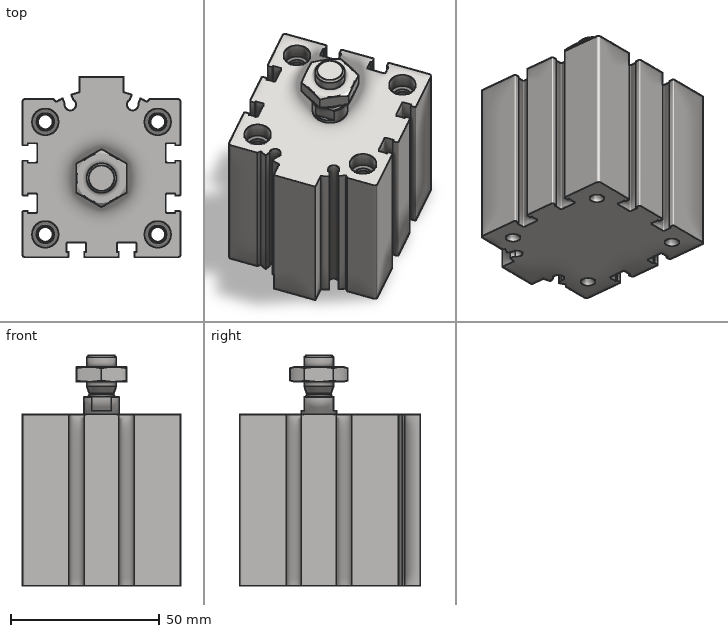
import cadquery as cq
import math

body_width = 53.5
body_height = 58.0
half_width = body_width / 2
corner_radius = 1.0

rail_width = 15.0
rail_top_y = 34.25
land_radius = 30.0
notch_x = 15.3

sensor_angle = 23.0
sensor_distance = 26.95
sensor_diameter = 3.8
sensor_throat = 3.1

slot_offset = 8.5
slot_mouth_width = 5.2
slot_mouth_depth = 1.85
slot_width = 6.5
slot_depth = 5.0
slot_mouth_radius = 0.4
slot_floor_radius = 0.4

hole_pitch = 38.0
hole_diameter = 4.92
countersink_diameter = 6.0
counterbore_diameter = 9.0
counterbore_depth = 5.7

rod_top = 78.0
shank_diameter = 12.0
shank_top = 64.0
shank_chamfer = 0.2
flats_width = 10.0
flats_bottom = 59.25
neck_diameter = 8.2
neck_bottom = 64.6
neck_top = 65.1
thread_diameter = 10.0
thread_root_diameter = 8.57
taper_bottom = 65.4
taper_top = 67.5
shoulder_diameter = 9.0
tip_chamfer = (thread_diameter - thread_root_diameter) / 2

nut_sides = 6
nut_width = 17.0
nut_height = 5.0
nut_bottom = 69.0
nut_face_diameter = 16.8
nut_chamfer_height = 0.45


def land_y(x):
    """Height in Y of the arched land at x."""
    return math.sqrt(land_radius**2 - x**2)


def body_outline():
    """Closed profile of the body without its slots, grooves and rounded corners."""
    rail_x = rail_width / 2
    notch_y = land_y(notch_x)
    arc_middle_x = (rail_x + notch_x) / 2
    arc_middle_y = land_y(arc_middle_x)
    notch_top_x = notch_x + half_width - notch_y
    return (
        cq.Workplane("XY")
        .moveTo(-half_width, -half_width)
        .lineTo(half_width, -half_width)
        .lineTo(half_width, half_width)
        .lineTo(notch_top_x, half_width)
        .lineTo(notch_x, notch_y)
        .threePointArc((arc_middle_x, arc_middle_y), (rail_x, land_y(rail_x)))
        .lineTo(rail_x, rail_top_y)
        .lineTo(-rail_x, rail_top_y)
        .lineTo(-rail_x, land_y(rail_x))
        .threePointArc((-arc_middle_x, arc_middle_y), (-notch_x, notch_y))
        .lineTo(-notch_top_x, half_width)
        .lineTo(-half_width, half_width)
        .close()
    )


def t_slot():
    """Cutter for one T-slot, open towards -Y at x = 0."""
    mouth_half_width = slot_mouth_width / 2
    flare_half_width = mouth_half_width + slot_mouth_radius
    mouth = (
        cq.Workplane("XY")
        .moveTo(-flare_half_width, 0)
        .radiusArc((-mouth_half_width, slot_mouth_radius), -slot_mouth_radius)
        .lineTo(-mouth_half_width, slot_mouth_depth)
        .lineTo(mouth_half_width, slot_mouth_depth)
        .lineTo(mouth_half_width, slot_mouth_radius)
        .radiusArc((flare_half_width, 0), -slot_mouth_radius)
        .close()
        .extrude(body_height)
    )
    chamber = (
        cq.Workplane("XY")
        .box(slot_width, slot_depth - slot_mouth_depth, body_height, centered=(True, False, False))
        .edges("|Z and >Y")
        .fillet(slot_floor_radius)
        .translate((0, slot_mouth_depth, 0))
    )
    return mouth.union(chamber).translate((0, -half_width, 0))


def sensor_groove():
    """Cutter for the +X sensor groove: a round channel with a narrower radial throat."""
    throat_length = 2 * sensor_diameter
    channel = cq.Workplane("XY").circle(sensor_diameter / 2).extrude(body_height)
    throat = cq.Workplane("XY").box(
        sensor_throat, throat_length, body_height, centered=(True, False, False)
    )
    groove = channel.union(throat)
    return groove.translate((0, sensor_distance, 0)).rotate((0, 0, 0), (0, 0, 1), -sensor_angle)


def mounting_hole():
    """Cutter for one stepped mounting hole on the Z axis."""
    counterbore_floor = body_height - counterbore_depth
    hole_radius = hole_diameter / 2
    countersink_radius = countersink_diameter / 2
    countersink_bottom = counterbore_floor - (countersink_radius - hole_radius)
    half_profile = [
        (0, 0),
        (hole_radius, 0),
        (hole_radius, countersink_bottom),
        (countersink_radius, counterbore_floor),
        (counterbore_diameter / 2, counterbore_floor),
        (counterbore_diameter / 2, body_height),
        (0, body_height),
    ]
    return cq.Workplane("XZ").polyline(half_profile).close().revolve()


def make_body():
    body = body_outline().extrude(body_height)
    body = body.edges("|Z").edges("<X or >X").fillet(corner_radius)
    for side_angle in (-90, 0, 90):
        for offset in (-slot_offset, slot_offset):
            slot = t_slot().translate((offset, 0, 0))
            body = body.cut(slot.rotate((0, 0, 0), (0, 0, 1), side_angle))
    groove = sensor_groove()
    body = body.cut(groove).cut(groove.mirror("YZ"))
    for x in (-hole_pitch / 2, hole_pitch / 2):
        for y in (-hole_pitch / 2, hole_pitch / 2):
            body = body.cut(mounting_hole().translate((x, y, 0)))
    return body


def make_rod():
    half_profile = [
        (0, body_height),
        (shank_diameter / 2, body_height),
        (shank_diameter / 2, shank_top - shank_chamfer),
        (shank_diameter / 2 - shank_chamfer, shank_top),
        (shoulder_diameter / 2, shank_top),
        (neck_diameter / 2, neck_bottom),
        (neck_diameter / 2, neck_top),
        (thread_root_diameter / 2, taper_bottom),
        (thread_diameter / 2, taper_top),
        (thread_diameter / 2, rod_top - tip_chamfer),
        (thread_diameter / 2 - tip_chamfer, rod_top),
        (0, rod_top),
    ]
    rod = cq.Workplane("XZ").polyline(half_profile).close().revolve()
    flat_height = shank_top - flats_bottom
    for side in (-1, 1):
        flat_cut = cq.Workplane("XY").box(
            shank_diameter, shank_diameter, flat_height, centered=(True, True, False)
        )
        flat_y = side * (flats_width + shank_diameter) / 2
        rod = rod.cut(flat_cut.translate((0, flat_y, flats_bottom)))
    return rod


def make_nut():
    half_corner_angle = 180 / nut_sides
    corner_diameter = nut_width / math.cos(math.radians(half_corner_angle))
    nut_corner_radius = corner_diameter / 2
    face_radius = nut_face_diameter / 2
    half_profile = [
        (0, 0),
        (face_radius, 0),
        (nut_corner_radius, nut_chamfer_height),
        (nut_corner_radius, nut_height - nut_chamfer_height),
        (face_radius, nut_height),
        (0, nut_height),
    ]
    envelope = cq.Workplane("XZ").polyline(half_profile).close().revolve()
    nut = cq.Workplane("XY").polygon(nut_sides, corner_diameter).extrude(nut_height)
    nut = nut.rotate((0, 0, 0), (0, 0, 1), half_corner_angle).intersect(envelope)
    bore = cq.Workplane("XY").circle(thread_diameter / 2).extrude(nut_height)
    return nut.cut(bore).translate((0, 0, nut_bottom))


body = make_body()
rod = make_rod()
nut = make_nut()

result = cq.Compound.makeCompound([body.val(), rod.val(), nut.val()])